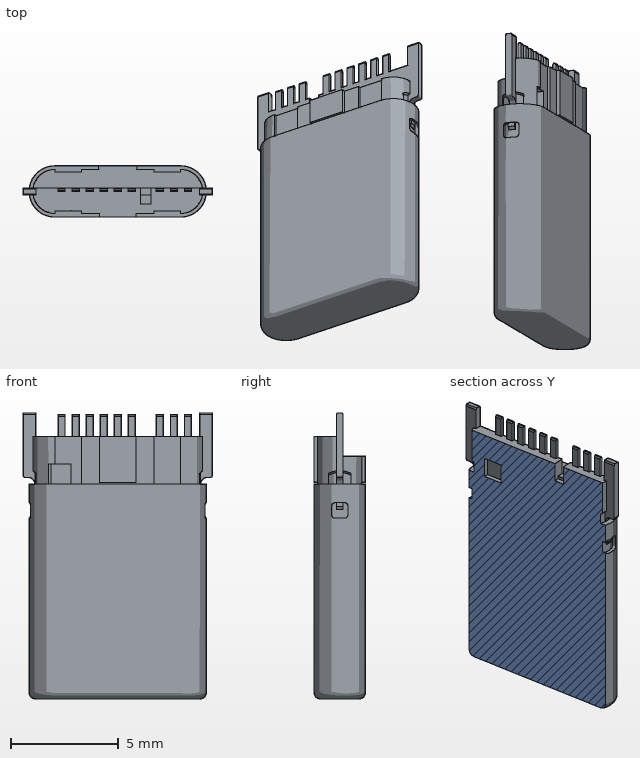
import cadquery as cq
import math

TOTAL_HEIGHT = 13.3
TAB_SPAN = 8.8
OVERLAP = 0.13

SHELL_WIDTH = 8.25
SHELL_THICKNESS = 2.4
SHELL_TOP = 9.99
SHELL_WALL = 0.17
NOSE_RADIUS = 0.3

CORE_WIDTH = SHELL_WIDTH - 2 * SHELL_WALL
CORE_THICKNESS = SHELL_THICKNESS - 2 * SHELL_WALL
CORE_FRONT_TOP = 12.21
CORE_BACK_TOP = 11.29
FLAT_HALF_WIDTH = (SHELL_WIDTH - SHELL_THICKNESS) / 2

FLAP_FRONT_WIDTH = 1.7
FLAP_BACK_WIDTH = 1.77
FLAP_BOTTOM = SHELL_TOP + 0.08
RECESS_INNER = 1.68
RECESS_DEPTH = 0.12

TAB_THICKNESS = 0.32
STEP_Y = TAB_THICKNESS / 2
TIP_BEVEL_HEIGHT = 0.08
TIP_BEVEL_RUN = 0.047

TAB_WIDTH = 0.6
TAB_BOTTOM = 10.3
TAB_CORNER_RADIUS = 0.1
TAB_ROOT_RADIUS = TAB_BOTTOM - SHELL_TOP

PIN_WIDTH = 0.33
PIN_THICKNESS = 0.16
PIN_PITCH = 0.65
PIN_TOP = TOTAL_HEIGHT - 0.08
PIN_SLOTS = (-4, -3, -2, -1, 0, 1, 3, 4, 5)

KEY_POSITION = 2 * PIN_PITCH
KEY_WIDTH = 0.49
KEY_FRONT_Y = -0.57
KEY_LEDGE_Z = 11.44

END_NOTCH_WIDTH = 1.04
END_NOTCH_DEPTH = 0.09
END_NOTCH_TOP = 10.61
END_NOTCH_CEILING_DROP = 0.08
END_NOTCH_REACH = 0.33

POCKET_LEFT = -3.27
POCKET_INNER_LEFT = -3.11
POCKET_RIGHT = -2.18
POCKET_BACK_Y = -STEP_Y
POCKET_TOP = 10.93

WINDOW_WIDTH = 0.76
WINDOW_BOTTOM = 8.4
WINDOW_TOP = 9.12
WINDOW_CORNER = 0.15
LATCH_BOTTOM = 8.8
LATCH_KNEE = 8.95
LATCH_REACH = 0.08


def box(x_min, x_max, y_min, y_max, z_min, z_max):
    """Axis-aligned block between the given limits."""
    size = (x_max - x_min, y_max - y_min, z_max - z_min)
    return cq.Workplane("XY").box(*size, centered=False).translate((x_min, y_min, z_min))


def slot_block(width, thickness, z_min, z_max):
    """Upright block with a full-round slot outline."""
    return cq.Workplane("XY").workplane(offset=z_min).slot2D(width, thickness).extrude(z_max - z_min)


def both_sides(body):
    """The body together with its mirror image across the YZ plane."""
    return body.union(body.mirror("YZ"))


def make_shell():
    shell = slot_block(SHELL_WIDTH, SHELL_THICKNESS, 0, SHELL_TOP)
    return shell.faces("<Z").edges().fillet(NOSE_RADIUS)


def make_core():
    core_bottom = SHELL_TOP - OVERLAP
    core = slot_block(CORE_WIDTH, CORE_THICKNESS, core_bottom, CORE_FRONT_TOP)
    half_shell = SHELL_THICKNESS / 2
    half_core = CORE_THICKNESS / 2
    recess_floor = half_core - RECESS_DEPTH

    for side in (-1, 1):
        y_min, y_max = sorted((side * recess_floor, side * half_shell))
        recess = box(RECESS_INNER, FLAT_HALF_WIDTH, y_min, y_max, SHELL_TOP, CORE_FRONT_TOP)
        core = core.cut(both_sides(recess))

    for side, width in ((-1, FLAP_FRONT_WIDTH), (1, FLAP_BACK_WIDTH)):
        y_min, y_max = sorted((side * recess_floor, side * half_shell))
        core = core.union(box(-width / 2, width / 2, y_min, y_max, FLAP_BOTTOM, CORE_FRONT_TOP))

    back_step = box(-SHELL_WIDTH, SHELL_WIDTH, STEP_Y, SHELL_THICKNESS, CORE_BACK_TOP, TOTAL_HEIGHT)
    return core.cut(back_step)


def make_end_notches():
    """Notches with a floor concentric to the core and a ceiling that rises outwards at a constant slope."""
    core_end = CORE_WIDTH / 2
    slope = END_NOTCH_CEILING_DROP / END_NOTCH_DEPTH
    outline = [
        (core_end - END_NOTCH_REACH, SHELL_TOP),
        (core_end - END_NOTCH_REACH, END_NOTCH_TOP - slope * END_NOTCH_REACH),
        (core_end + OVERLAP, END_NOTCH_TOP + slope * OVERLAP),
        (core_end + OVERLAP, SHELL_TOP),
    ]
    notch = cq.Workplane("XZ").polyline(outline).close().extrude(END_NOTCH_WIDTH / 2, both=True)
    floor_body = slot_block(
        CORE_WIDTH - 2 * END_NOTCH_DEPTH, CORE_THICKNESS - 2 * END_NOTCH_DEPTH, SHELL_TOP, END_NOTCH_TOP
    )
    return both_sides(notch).cut(floor_body)


def make_corner_pocket():
    """Pocket whose left mouth edge is bevelled at 45 degrees."""
    bevel = POCKET_INNER_LEFT - POCKET_LEFT
    bevel_y = -CORE_THICKNESS / 2
    front_y = -SHELL_THICKNESS / 2
    outline = [
        (POCKET_LEFT, front_y),
        (POCKET_LEFT, bevel_y),
        (POCKET_INNER_LEFT, bevel_y + bevel),
        (POCKET_INNER_LEFT, POCKET_BACK_Y),
        (POCKET_RIGHT, POCKET_BACK_Y),
        (POCKET_RIGHT, front_y),
    ]
    plane = cq.Workplane("XY").workplane(offset=SHELL_TOP)
    return plane.polyline(outline).close().extrude(POCKET_TOP - SHELL_TOP)


def make_key_slot():
    """Slot open at the back, with a ledge behind its deeper front half."""
    x_min = KEY_POSITION - KEY_WIDTH / 2
    x_max = KEY_POSITION + KEY_WIDTH / 2
    deep_part = box(x_min, x_max, KEY_FRONT_Y, -STEP_Y, CORE_BACK_TOP, CORE_FRONT_TOP)
    ledge_part = box(x_min, x_max, -STEP_Y, STEP_Y, KEY_LEDGE_Z, CORE_FRONT_TOP)
    return deep_part.union(ledge_part)


def bevel_tip(body, y_min, top):
    """Trim the front and back edges of the tip of a blade whose back lies on the step."""
    outline = [
        (y_min, SHELL_TOP),
        (y_min, top - TIP_BEVEL_HEIGHT),
        (y_min + TIP_BEVEL_RUN, top),
        (STEP_Y - TIP_BEVEL_RUN, top),
        (STEP_Y, top - TIP_BEVEL_HEIGHT),
        (STEP_Y, SHELL_TOP),
    ]
    envelope = cq.Workplane("YZ").polyline(outline).close().extrude(TAB_SPAN, both=True)
    return body.intersect(envelope)


def make_tabs():
    """Right-hand tab with its curved root, mirrored to the left."""
    outer = TAB_SPAN / 2
    inner = outer - TAB_WIDTH
    root = CORE_WIDTH / 2 - END_NOTCH_DEPTH
    diagonal = math.sqrt(0.5)
    corner_x = outer - TAB_CORNER_RADIUS
    corner_z = TAB_BOTTOM + TAB_CORNER_RADIUS
    fillet_x = root + TAB_ROOT_RADIUS
    profile = (
        cq.Workplane("XZ", origin=(0, STEP_Y, 0))
        .moveTo(inner, SHELL_TOP)
        .lineTo(inner, TOTAL_HEIGHT)
        .lineTo(outer, TOTAL_HEIGHT)
        .lineTo(outer, corner_z)
        .threePointArc(
            (corner_x + TAB_CORNER_RADIUS * diagonal, corner_z - TAB_CORNER_RADIUS * diagonal),
            (corner_x, TAB_BOTTOM),
        )
        .lineTo(fillet_x, TAB_BOTTOM)
        .threePointArc(
            (fillet_x - TAB_ROOT_RADIUS * diagonal, SHELL_TOP + TAB_ROOT_RADIUS * diagonal),
            (root, SHELL_TOP),
        )
        .close()
    )
    return both_sides(bevel_tip(profile.extrude(TAB_THICKNESS), -STEP_Y, TOTAL_HEIGHT))


def make_pin(slot):
    centre = slot * PIN_PITCH
    front_y = STEP_Y - PIN_THICKNESS
    pin = box(
        centre - PIN_WIDTH / 2,
        centre + PIN_WIDTH / 2,
        front_y,
        STEP_Y,
        CORE_BACK_TOP - OVERLAP,
        PIN_TOP,
    )
    return bevel_tip(pin, front_y, PIN_TOP)


def make_windows():
    """Shell-wall openings that bottom out on the core's outline."""
    opening = box(
        FLAT_HALF_WIDTH, SHELL_WIDTH, -WINDOW_WIDTH / 2, WINDOW_WIDTH / 2, WINDOW_BOTTOM, WINDOW_TOP
    )
    opening = opening.edges("|X").fillet(WINDOW_CORNER)
    core_body = slot_block(CORE_WIDTH, CORE_THICKNESS, WINDOW_BOTTOM, WINDOW_TOP)
    return both_sides(opening).cut(core_body)


def make_latches():
    """Small hooks that show at the top of each window."""
    tip = CORE_WIDTH / 2 + LATCH_REACH
    root = tip - LATCH_REACH - OVERLAP
    outline = [
        (root, LATCH_BOTTOM),
        (CORE_WIDTH / 2, LATCH_BOTTOM),
        (tip, LATCH_KNEE),
        (tip, WINDOW_TOP),
        (root, WINDOW_TOP),
    ]
    plane = cq.Workplane("XZ", origin=(0, STEP_Y, 0))
    return both_sides(plane.polyline(outline).close().extrude(TAB_THICKNESS))


core = make_core()
for cutter in (make_corner_pocket(), make_key_slot(), make_end_notches()):
    core = core.cut(cutter)

result = make_shell().cut(make_windows()).union(make_latches()).union(core).union(make_tabs())
for pin_slot in PIN_SLOTS:
    result = result.union(make_pin(pin_slot))